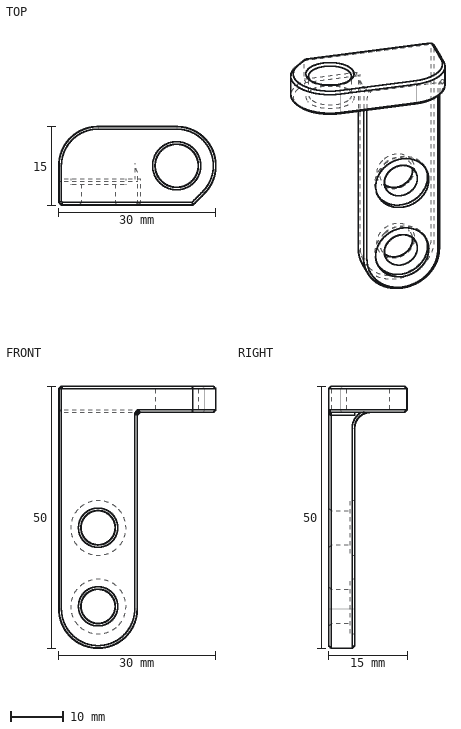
import cadquery as cq
import math

length = 30.0
depth = 15.0
height = 50.0
thickness = 5.0
leg_width = 15.0
inner_fillet = 3.0
chamfer = 0.5
leg_hole_diameter = 6.5
leg_hole_count = 2
leg_hole_height = 8.0
leg_hole_pitch = 15.0
counterbore_diameter = 10.5
counterbore_depth = 1.0
arm_hole_diameter = 8.2
tolerance = 0.01

leg_radius = leg_width / 2
leg_top = height - chamfer
arm_radius = depth / 2
arm_hole_x = length - arm_radius
arm_bottom = height - thickness
fillet_end_y = thickness + inner_fillet
fillet_end_z = arm_bottom - inner_fillet

diagonal = arm_radius * math.sqrt(0.5)
bevel_end_x = arm_hole_x + diagonal
bevel_end_y = arm_radius - diagonal
bevel_start_x = bevel_end_x - bevel_end_y


def make_plan_prism(bottom):
    """Plan outline up to the top face: round rear corners and a 45 degree bevel at the front right."""
    return (
        cq.Workplane("XY", origin=(0, 0, bottom))
        .lineTo(bevel_start_x, 0)
        .lineTo(bevel_end_x, bevel_end_y)
        .threePointArc((arm_hole_x + diagonal, arm_radius + diagonal), (arm_hole_x, depth))
        .lineTo(arm_radius, depth)
        .threePointArc((arm_radius - diagonal, arm_radius + diagonal), (0, arm_radius))
        .close()
        .extrude(height - bottom)
    )


def make_arm():
    """Horizontal plate, chamfered above, below and on the front left upright edge."""
    front_left = cq.selectors.NearestToPointSelector((0, 0, arm_bottom + thickness / 2))
    arm = make_plan_prism(arm_bottom)
    return arm.edges(front_left).chamfer(chamfer).faces("<Z or >Z").edges().chamfer(chamfer)


def make_leg():
    """Vertical plate with a round foot; its rear face curves out to meet the underside of the arm."""
    side_profile = (
        cq.Workplane("YZ")
        .lineTo(thickness, 0)
        .lineTo(thickness, fillet_end_z)
        .radiusArc((fillet_end_y, arm_bottom), inner_fillet)
        .lineTo(fillet_end_y, leg_top)
        .lineTo(0, leg_top)
        .close()
        .extrude(leg_width)
    )
    front_profile = (
        cq.Workplane("XZ")
        .moveTo(0, height)
        .lineTo(0, leg_radius)
        .threePointArc((leg_radius, 0), (leg_width, leg_radius))
        .lineTo(leg_width, height)
        .close()
        .extrude(-depth)
    )
    front_rim = cq.selectors.BoxSelector(
        (-tolerance, -tolerance, -tolerance), (leg_width + tolerance, tolerance, leg_top - tolerance)
    )
    foot_rear = cq.selectors.NearestToPointSelector((leg_radius, thickness, 0))
    leg = side_profile.intersect(front_profile)
    leg = leg.edges(front_rim).chamfer(chamfer)
    leg = leg.edges(foot_rear).chamfer(chamfer)
    return leg


def soften_inside_corner(body):
    """Small 45 degree filler in the corner between the leg's right side and the arm's underside."""
    mitre_middle = (leg_width - chamfer / 2, chamfer / 2, arm_bottom + chamfer / 2)
    body = body.edges(cq.selectors.NearestToPointSelector(mitre_middle)).chamfer(chamfer)
    filler = (
        cq.Workplane("XZ", origin=(0, chamfer, 0))
        .moveTo(leg_width, arm_bottom)
        .lineTo(leg_width + chamfer, arm_bottom)
        .lineTo(leg_width, arm_bottom - chamfer)
        .close()
        .extrude(chamfer - thickness)
    )
    return body.union(filler)


def make_body():
    """Leg and arm joined and kept within the plan outline."""
    body = make_leg().union(make_arm()).intersect(make_plan_prism(0))
    return soften_inside_corner(body)


def make_bore(diameter):
    """Cylinder rising from z = 0 through one plate, flared by a chamfer at its lower end."""
    radius = diameter / 2
    return (
        cq.Workplane("XZ")
        .lineTo(radius + chamfer, 0)
        .lineTo(radius, chamfer)
        .lineTo(radius, thickness)
        .lineTo(0, thickness)
        .close()
        .revolve(360, (0, 0, 0), (0, 1, 0))
    )


def make_leg_hole_cutter():
    """Bore chamfered at the front end, with a shallow counterbore at the rear end."""
    counterbore = (
        cq.Workplane("XY", origin=(0, 0, thickness - counterbore_depth))
        .circle(counterbore_diameter / 2)
        .extrude(counterbore_depth)
    )
    return make_bore(leg_hole_diameter).union(counterbore)


def make_arm_hole_cutter():
    """Bore chamfered at both ends."""
    bore = make_bore(arm_hole_diameter)
    middle = (0, 0, thickness / 2)
    return bore.union(bore.mirror("XY", middle))


def place(cutter, centre, direction):
    """Move a cutter to a hole centre and point its axis along the given direction."""
    plane = cq.Plane(origin=centre, xDir=(1, 0, 0), normal=direction)
    return cutter.val().moved(cq.Location(plane))


def cut_holes(body):
    """Holes in a column through the leg and one upright hole through the arm."""
    for row in range(leg_hole_count):
        centre = (leg_radius, 0, leg_hole_height + row * leg_hole_pitch)
        body = body.cut(place(make_leg_hole_cutter(), centre, (0, 1, 0)))
    arm_centre = (arm_hole_x, arm_radius, arm_bottom)
    return body.cut(place(make_arm_hole_cutter(), arm_centre, (0, 0, 1)))


result = cut_holes(make_body())